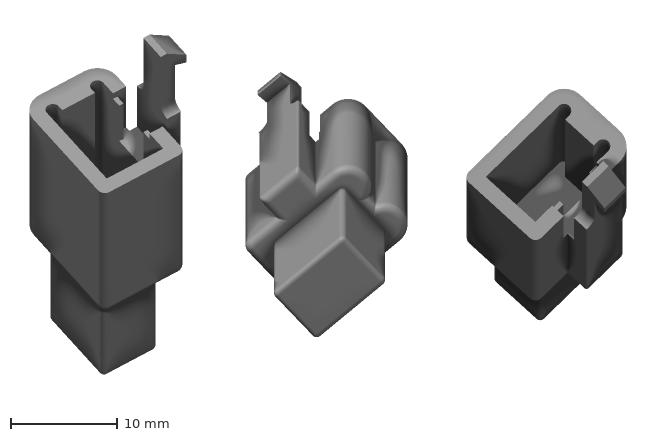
import cadquery as cq
import math

total_height = 37.9
housing_bottom = 12.55
housing_top = 29.9

housing_x = 13.6
housing_y = 9.5
lobe_radius = 2.2
corner_radius = 0.8
bottom_fillet = 0.8
groove_half_width = 0.5
groove_cap_height = 1.0
groove_cap_radius = 0.95

wall = 1.5
cavity_floor = housing_bottom + wall
tongue_face_x = 2.75
finger_radius = 0.7

center_x = housing_x / 2
slot_width = 6.03
slot_floor = 23.95
lip_width = 1.02
lip_depth = 0.5
lip_top = housing_top - 0.8

latch_reach_y = 13.35
spine_outer_y = 12.0
spine_inner_y = 10.4
spine_width = 4.95
spine_edge_fillet = 0.23
arm_width = 2.88
hook_crest_y = 11.1
hook_top_z = 36.25
hook_bottom_z = 35.15
hook_root_z = 35.63

plug_x_start = 2.35
plug_x = 8.95
plug_y_start = 1.6
plug_y = 6.3
plug_fillet = 0.5

mid_y = housing_y / 2
cavity_end_x = housing_x - wall
cavity_end_y = housing_y - wall


def box(x0, x1, y0, y1, z0, z1):
    """Axis-aligned block between opposite corners."""
    return cq.Workplane("XY").box(x1 - x0, y1 - y0, z1 - z0, centered=False).translate((x0, y0, z0))


def make_spine():
    """Wide lower part of the latch, carried into the housing wall."""
    half = spine_width / 2
    spine = box(center_x - half, center_x + half, mid_y, spine_outer_y, housing_bottom, housing_top)
    spine = spine.edges("|Z and >Y").fillet(spine_edge_fillet)
    return spine.faces("<Z").edges("not <Y").fillet(bottom_fillet)


def make_housing():
    """Outer body whose -X side is two round lobes, joined by a rounded cap at the top, plus the spine."""
    floor_edge_offset = mid_y - lobe_radius - groove_half_width
    floor_rise = math.sqrt(lobe_radius**2 - floor_edge_offset**2)
    floor_x = lobe_radius - floor_rise
    half_sweep = (math.pi - math.acos(floor_edge_offset / lobe_radius)) / 2
    arc_x = lobe_radius - lobe_radius * math.sin(half_sweep)
    arc_y = lobe_radius - lobe_radius * math.cos(half_sweep)
    body = (
        cq.Workplane("XY", origin=(0, 0, housing_bottom))
        .moveTo(lobe_radius, 0)
        .threePointArc((arc_x, arc_y), (floor_x, mid_y - groove_half_width))
        .lineTo(floor_x, mid_y + groove_half_width)
        .threePointArc((arc_x, housing_y - arc_y), (lobe_radius, housing_y))
        .lineTo(housing_x, housing_y)
        .lineTo(housing_x, 0)
        .close()
        .extrude(housing_top - housing_bottom)
    )
    body = body.edges("|Z and >X").fillet(corner_radius)
    body = body.faces("<Z").edges().fillet(bottom_fillet)

    cap = box(0, lobe_radius, lobe_radius, housing_y - lobe_radius, housing_top - groove_cap_height, housing_top)
    cap = cap.edges("|Y and <X and <Z").fillet(groove_cap_radius)
    return body.union(cap).union(make_spine())


def make_cavity():
    """Rectangular pocket with two round-ended fingers beside the tongue on the -X wall."""
    height = housing_top - cavity_floor
    cavity = box(tongue_face_x, cavity_end_x, wall, cavity_end_y, cavity_floor, housing_top)
    for finger_y in (wall + finger_radius, cavity_end_y - finger_radius):
        tip_x = wall + finger_radius
        tip = cq.Workplane("XY", origin=(tip_x, finger_y, cavity_floor)).circle(finger_radius).extrude(height)
        channel = box(tip_x, tongue_face_x, finger_y - finger_radius, finger_y + finger_radius,
                      cavity_floor, housing_top)
        cavity = cavity.union(tip).union(channel)
    return cavity


def make_slot():
    """Opening in the +Y wall behind the latch, leaving an inner lip on both sides."""
    left = center_x - slot_width / 2
    right = center_x + slot_width / 2
    slot = box(left, right, cavity_end_y, spine_inner_y, slot_floor, housing_top)
    for lip_x in (left, right - lip_width):
        lip = box(lip_x, lip_x + lip_width, cavity_end_y, cavity_end_y + lip_depth, slot_floor, lip_top)
        slot = slot.cut(lip)
    return slot


def make_latch_arm():
    """Narrow arm with a hook on top and concave rounds where it meets the spine."""
    arm = (
        cq.Workplane("YZ", origin=(center_x, 0, 0))
        .moveTo(spine_inner_y, housing_top)
        .lineTo(spine_inner_y, total_height)
        .lineTo(hook_crest_y, total_height)
        .lineTo(latch_reach_y, hook_top_z)
        .lineTo(latch_reach_y, hook_bottom_z)
        .lineTo(spine_outer_y, hook_root_z)
        .lineTo(spine_outer_y, housing_top)
        .close()
        .extrude(arm_width / 2, both=True)
    )
    round_radius = (spine_width - arm_width) / 2
    half = spine_width / 2
    foot = box(center_x - half, center_x + half, spine_inner_y, spine_outer_y,
               housing_top, housing_top + round_radius)
    for side in (-1, 1):
        hollow = (
            cq.Workplane("XZ", origin=(center_x + side * half, spine_outer_y, housing_top + round_radius))
            .circle(round_radius)
            .extrude(spine_outer_y - spine_inner_y)
        )
        foot = foot.cut(hollow)
    return arm.union(foot)


def make_plug():
    """Solid plug below the housing, rounded on its upright edges and tip."""
    plug = box(plug_x_start, plug_x_start + plug_x, plug_y_start, plug_y_start + plug_y, 0, housing_bottom)
    return plug.edges("|Z or <Z").fillet(plug_fillet)


result = make_housing().union(make_latch_arm()).union(make_plug())
result = result.cut(make_cavity()).cut(make_slot()).clean()